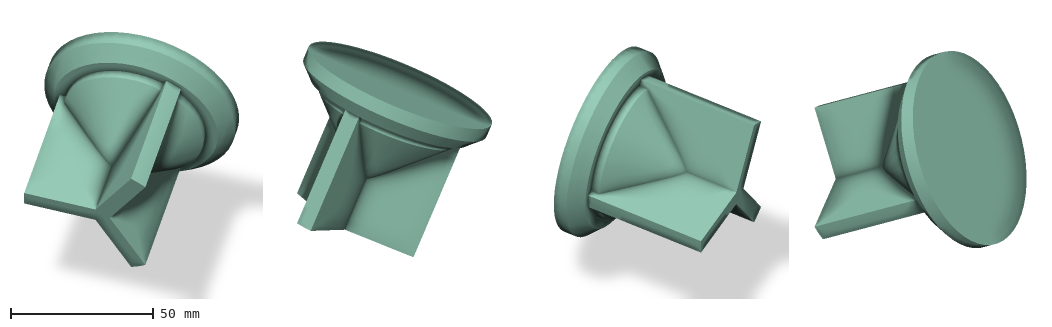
import cadquery as cq

flange_radius = 35.0
total_length = 55.0

rim_thickness = 5.0
bevel = 5.0
flange_thickness = rim_thickness + bevel

hub_radius = 25.6
hub_length = 3.0
hub_end = flange_thickness + hub_length
cone_tip = hub_end + hub_radius

vane_count = 3
vane_thickness = 6.0
vane_radius = 28.0
vane_length = total_length - flange_thickness


def make_body():
    """Revolve the flange, hub and cone; the axis is Y and the part points to -Y."""
    return (
        cq.Workplane("XY")
        .lineTo(flange_radius, 0)
        .lineTo(flange_radius, -rim_thickness)
        .lineTo(flange_radius - bevel, -flange_thickness)
        .lineTo(hub_radius, -flange_thickness)
        .lineTo(hub_radius, -hub_end)
        .lineTo(0, -cone_tip)
        .close()
        .revolve(360, (0, 0, 0), (0, 1, 0))
    )


def make_vanes():
    """Radial plates trimmed by a cylinder so that their outer ends are round."""
    base = cq.Workplane("XZ").workplane(offset=flange_thickness)
    plate = base.center(-vane_radius / 2, 0).rect(vane_radius, vane_thickness).extrude(vane_length)
    envelope = base.circle(vane_radius).extrude(vane_length)
    vanes = plate
    for index in range(1, vane_count):
        angle = index * 360 / vane_count
        vanes = vanes.union(plate.rotate((0, 0, 0), (0, 1, 0), angle))
    return vanes.intersect(envelope)


result = make_body().union(make_vanes())